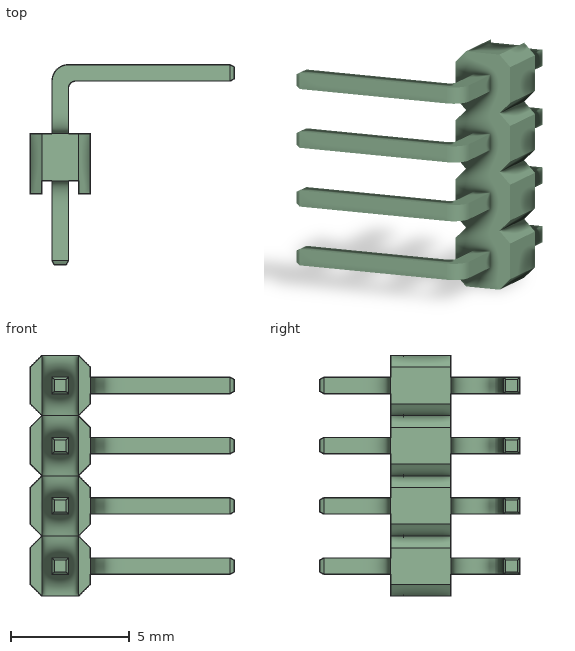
import cadquery as cq

position_count = 4
pitch = 2.54

block_width = pitch
block_depth = pitch
corner_chamfer = 0.5
channel_depth = 0.55
channel_width = block_width - 2 * corner_chamfer

pin_width = 0.7
front_reach = 3.0
overall_depth = 8.45
overall_width = 8.62
outer_bend_radius = 0.7
inner_bend_radius = 0.3
tip_length = 0.18
tip_inset = 0.1

front_tip_y = -front_reach
leg_outer_y = overall_depth - front_reach
leg_inner_y = leg_outer_y - pin_width
leg_tip_x = overall_width - block_width / 2


def make_block():
    """Block with four chamfered Y edges and an open channel along Z in its front face."""
    block = (
        cq.Workplane("XY")
        .box(block_width, block_depth, pitch, centered=(True, False, True))
        .edges("|Y")
        .chamfer(corner_chamfer)
    )
    channel = cq.Workplane("XY").box(
        channel_width, channel_depth, pitch, centered=(True, False, True)
    )
    return block.cut(channel)


def make_tip(workplane):
    """Tapered pin end, extruded from the end face of a straight pin."""
    tip_width = pin_width - 2 * tip_inset
    return (
        workplane.rect(pin_width, pin_width)
        .workplane(offset=tip_length)
        .rect(tip_width, tip_width)
        .loft(ruled=True)
    )


def make_pin():
    """Square pin that runs along Y and bends towards +X behind the block."""
    half_width = pin_width / 2
    front_shoulder_y = front_tip_y + tip_length
    leg_shoulder_x = leg_tip_x - tip_length
    shank = (
        cq.Workplane("XY")
        .workplane(offset=-half_width)
        .moveTo(-half_width, front_shoulder_y)
        .lineTo(half_width, front_shoulder_y)
        .lineTo(half_width, leg_inner_y - inner_bend_radius)
        .radiusArc((half_width + inner_bend_radius, leg_inner_y), inner_bend_radius)
        .lineTo(leg_shoulder_x, leg_inner_y)
        .lineTo(leg_shoulder_x, leg_outer_y)
        .lineTo(outer_bend_radius - half_width, leg_outer_y)
        .radiusArc((-half_width, leg_outer_y - outer_bend_radius), -outer_bend_radius)
        .close()
        .extrude(pin_width)
    )
    front_tip = make_tip(cq.Workplane("XZ", origin=(0, front_shoulder_y, 0)))
    leg_center_y = leg_outer_y - half_width
    leg_tip = make_tip(cq.Workplane("YZ", origin=(leg_shoulder_x, leg_center_y, 0)))
    return shank.union(front_tip).union(leg_tip)


def make_position(center_z):
    """One header position: block and pin as a single solid."""
    return make_block().union(make_pin()).translate((0, 0, center_z))


positions = [make_position((index + 0.5) * pitch) for index in range(position_count)]

result = cq.Compound.makeCompound([position.solids().val() for position in positions])